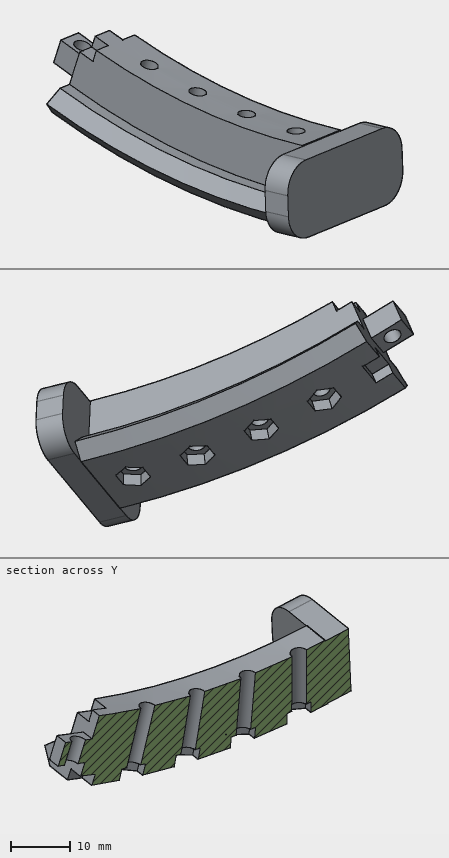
import cadquery as cq

top_radius = 127.45
free_end_angle = 19.7
plate_end_angle = -2.4

section_depth = 14.1
stem_width = 10.0
stem_depth = 9.0
flange_width = 20.0
bevel = 2.5

plate_width = 30.0
plate_height = 13.8
plate_top_depth = 0.2
plate_thickness = 5.0
plate_corner_radius = 5.0

hole_diameter = 3.0
hole_count = 4
hole_pitch_angle = 4.9
first_hole_angle = 0.1
nut_corner_width = 5.9
nut_depth = 2.25

lug_length = 6.0
lug_width = 4.7
lug_top_depth = 4.6
lug_height = 4.7

shoulder_length = 3.1
shoulder_depth = 2.25
tongue_width = 3.75
slot_length = 3.3
slot_width = 5.2
slot_height = 2.2

cut_margin = 0.6


def at_angle(body, angle):
    """Swing a body built at the origin along the arc, towards -X when positive."""
    return body.rotate((0, 0, top_radius), (0, 1, top_radius), angle)


def block(x_start, length, width, top_depth, height, y_center=0):
    """Box running from x_start towards +X, with its top at the given depth."""
    return cq.Workplane("XY").box(length, width, height, centered=(False, True, False)).translate(
        (x_start, y_center, -top_depth - height)
    )


def make_rail():
    half_stem = stem_width / 2
    half_flange = flange_width / 2
    half_flat = half_flange - bevel
    outline = [
        (half_stem, 0),
        (half_stem, -stem_depth),
        (half_flat, -stem_depth),
        (half_flange, -stem_depth - bevel),
        (half_flat, -section_depth),
    ]
    mirrored = [(-y, z) for y, z in reversed(outline)]
    rail = (
        cq.Workplane("YZ")
        .polyline(outline + mirrored)
        .close()
        .revolve(free_end_angle - plate_end_angle, (0, top_radius), (1, top_radius))
    )
    return at_angle(rail, plate_end_angle)


def make_plate():
    plate = block(0, plate_thickness, plate_width, plate_top_depth, plate_height)
    return at_angle(plate.edges("|X").fillet(plate_corner_radius), plate_end_angle)


def make_lug():
    lug = block(-lug_length, lug_length, lug_width, lug_top_depth, lug_height)
    lug = lug.faces(">Z").workplane(centerOption="CenterOfMass").hole(hole_diameter)
    return at_angle(lug, free_end_angle)


def make_bolt_cut():
    hole = (
        cq.Workplane("XY", origin=(0, 0, cut_margin))
        .circle(hole_diameter / 2)
        .extrude(-section_depth - 2 * cut_margin)
    )
    nut = (
        cq.Workplane("XY", origin=(0, 0, -section_depth - cut_margin))
        .transformed(rotate=(0, 0, 90))
        .polygon(6, nut_corner_width)
        .extrude(nut_depth + cut_margin)
    )
    return hole.union(nut)


def make_end_cuts():
    """Side shoulders that leave a tongue on top, and a slot in the underside."""
    shoulder_width = (stem_width - tongue_width) / 2
    shoulder_y = (stem_width + tongue_width) / 4
    cuts = block(0, slot_length, slot_width, section_depth - slot_height, slot_height + cut_margin)
    for side in (-1, 1):
        cuts = cuts.union(
            block(
                0,
                shoulder_length,
                shoulder_width,
                -cut_margin,
                shoulder_depth + cut_margin,
                side * shoulder_y,
            )
        )
    return at_angle(cuts, free_end_angle)


result = make_rail().cut(make_end_cuts())
for index in range(hole_count):
    result = result.cut(at_angle(make_bolt_cut(), first_hole_angle + index * hole_pitch_angle))
result = result.union(make_plate()).union(make_lug())